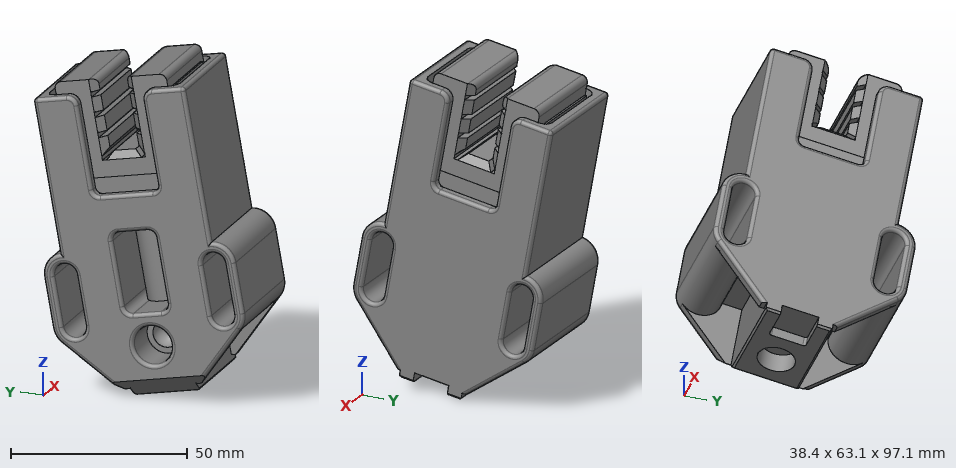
import cadquery as cq
import math


tilt_x = -9.7
tilt_y = -1.25
tilt_z = 0.6
unit_shift = (0, 1.5, 0)

inner_width = 30.0
wall = 3.0
housing_width = inner_width + 2 * wall
half_width = housing_width / 2
cavity_length = 40.0
housing_length = cavity_length + 2 * wall
housing_top = 42.8
edge_radius = 1.1
cavity_corner_radius = 3.0

slot_radius = 3.5
ear_radius = slot_radius + wall
ear_center_y = 22.6
ear_upper_z = -9.6
ear_lower_z = -24.6

taper_angle = math.radians(45)
plate_bottom_z = -45.0
foot_length = 20.0
foot_y_range = (-foot_length / 2, foot_length / 2)
foot_bottom_z = -47.2
foot_edge_chamfer = 0.6
toe_chamfer = 5.5

opening_width = 20.0
opening_bottom_z = 12.9
opening_bottom_radius = 2.0
opening_top_radius = 3.0

window_width = 13.4
window_height = 24.2
window_center_z = -10.2
window_corner_radius = 2.4
window_depth = housing_width - wall
window_bottom_z = window_center_z - window_height / 2

side_bore_diameter = 11.5
side_bore_z = -31.9
side_bore_depth = 18.0
foot_bore_diameter = 11.0
foot_bore_x = -2.7
foot_bore_depth = 6.0
foot_slot_start_x = 7.2
foot_slot_width = 11.0
foot_slot_depth = 3.0
foot_slot_corner_radius = 0.8

applicator_length = 34.0
applicator_bottom_z = 17.6
applicator_top_z = 46.5
jaw_radius = 2.0
jaw_slot_width = 13.0
jaw_slot_bottom_z = 22.6
pad_height = 2.1
groove_width = 1.5
groove_pitch = 6.0
groove_top_z = 42.0
groove_count = 3
corner_relief_width = 1.6

cartridge_diameter = side_bore_diameter
leaf_width = 25.0
leaf_thickness = 0.6
leaf_center_y = 17.8
leaf_offset_y = 0.45
leaf_top_z = 42.0
plug_thickness = 6.0
plug_cup_diameter = 8.0


def box(x_range, y_range, z_range):
    sizes = [high - low for low, high in (x_range, y_range, z_range)]
    corner = (x_range[0], y_range[0], z_range[0])
    return cq.Workplane("XY").box(*sizes, centered=False).translate(corner)


def side_sketch(x):
    """Workplane seen along x, with local coordinates (y, z)."""
    return cq.Workplane("YZ", origin=(x, 0, 0))


def ear_stadium(radius, side):
    """Upright stadium around one ear slot, over the full housing width."""
    middle_z = (ear_upper_z + ear_lower_z) / 2
    length = ear_upper_z - ear_lower_z + 2 * radius
    return (
        side_sketch(-half_width)
        .center(side * ear_center_y, middle_z)
        .slot2D(length, 2 * radius, 90)
        .extrude(housing_width)
    )


def upper_block():
    half_length = housing_length / 2
    block = box(
        (-half_width, half_width),
        (-half_length, half_length),
        (ear_lower_z, housing_top),
    )
    return block.edges("|X and >Z").fillet(edge_radius)


def side_plates():
    """Plates whose lower sides run tangentially from the ears to the narrow bottom."""
    tangent_y = ear_center_y + ear_radius * math.sin(taper_angle)
    tangent_z = ear_lower_z - ear_radius * math.cos(taper_angle)
    bottom_y = tangent_y - (tangent_z - plate_bottom_z) / math.tan(taper_angle)
    outline = [
        (-ear_center_y, ear_lower_z),
        (-tangent_y, tangent_z),
        (-bottom_y, plate_bottom_z),
        (bottom_y, plate_bottom_z),
        (tangent_y, tangent_z),
        (ear_center_y, ear_lower_z),
    ]
    plates = cq.Workplane()
    for x in (-half_width, half_width - wall):
        plates = plates.add(side_sketch(x).polyline(outline).close().extrude(wall))
    return plates.combine()


def foot():
    """Post between the side plates."""
    x_range = (-inner_width / 2, half_width - wall)
    block = box(x_range, foot_y_range, (foot_bottom_z, window_bottom_z))
    return block.faces("<Z").edges("<Y or >Y").chamfer(foot_edge_chamfer)


def foot_lip():
    """End of the foot that reaches under the +x side plate."""
    lip = box((half_width - wall, half_width), foot_y_range, (foot_bottom_z, plate_bottom_z))
    return lip.faces("<Z").edges("not <X").chamfer(foot_edge_chamfer)


def wall_openings():
    """Cutter for the U-shaped openings, flared with round shoulders at the housing top."""
    half_opening = opening_width / 2
    shoulder_y = half_opening + opening_top_radius
    shoulder_z = housing_top - opening_top_radius
    return (
        side_sketch(-half_width)
        .moveTo(-shoulder_y, housing_top)
        .radiusArc((-half_opening, shoulder_z), opening_top_radius)
        .lineTo(-half_opening, opening_bottom_z + opening_bottom_radius)
        .radiusArc((-half_opening + opening_bottom_radius, opening_bottom_z), -opening_bottom_radius)
        .lineTo(half_opening - opening_bottom_radius, opening_bottom_z)
        .radiusArc((half_opening, opening_bottom_z + opening_bottom_radius), -opening_bottom_radius)
        .lineTo(half_opening, shoulder_z)
        .radiusArc((shoulder_y, housing_top), opening_top_radius)
        .close()
        .extrude(housing_width)
    )


def cavity_prism(bottom_z, top_z):
    """Prism with the cross-section of the housing cavity."""
    return (
        cq.Workplane("XY", origin=(0, 0, bottom_z))
        .rect(inner_width, cavity_length)
        .extrude(top_z - bottom_z)
        .edges("|Z")
        .fillet(cavity_corner_radius)
    )


def window_pocket():
    return (
        side_sketch(-half_width)
        .center(0, window_center_z)
        .rect(window_width, window_height)
        .extrude(window_depth)
        .edges("|X")
        .fillet(window_corner_radius)
    )


def side_bore():
    return side_sketch(-half_width).center(0, side_bore_z).circle(side_bore_diameter / 2).extrude(side_bore_depth)


def cartridge():
    """Round cartridge standing in the window pocket, up to the reservoir."""
    return (
        cq.Workplane("XY", origin=(0, 0, window_bottom_z))
        .circle(cartridge_diameter / 2)
        .extrude(opening_bottom_z - window_bottom_z)
    )


def foot_bore():
    return (
        cq.Workplane("XY", origin=(foot_bore_x, 0, foot_bottom_z))
        .circle(foot_bore_diameter / 2)
        .extrude(foot_bore_depth)
    )


def foot_slot():
    """Shallow slot in the underside, open at the +x end."""
    half_slot = foot_slot_width / 2
    slot = box(
        (foot_slot_start_x, half_width),
        (-half_slot, half_slot),
        (foot_bottom_z, foot_bottom_z + foot_slot_depth),
    )
    return slot.edges("|Z and <X").fillet(foot_slot_corner_radius)


def toe_cut():
    """Wedge that bevels the lower -x edge across the whole foot."""
    outline = [
        (-half_width, foot_bottom_z),
        (-half_width + toe_chamfer, foot_bottom_z),
        (-half_width, foot_bottom_z + toe_chamfer),
    ]
    reach = ear_center_y
    return cq.Workplane("XZ", origin=(0, reach, 0)).polyline(outline).close().extrude(2 * reach)


def make_housing():
    body = upper_block().union(side_plates())
    for side in (-1, 1):
        body = body.union(ear_stadium(ear_radius, side))
    for side in (-1, 1):
        body = body.cut(ear_stadium(slot_radius, side))
    body = body.cut(wall_openings()).cut(window_pocket()).cut(side_bore())
    outer_edges = body.faces("<X or >X").edges()
    body = outer_edges.filter(lambda edge: edge.Center().z > plate_bottom_z + edge_radius).fillet(edge_radius)
    body = body.union(foot()).union(foot_lip())
    for cutter in (
        cavity_prism(opening_bottom_z, housing_top),
        window_pocket(),
        side_bore(),
        cartridge(),
        foot_bore(),
        foot_slot(),
        toe_cut(),
    ):
        body = body.cut(cutter)
    return body


def jaw_pads():
    """Raised pads on the three slot faces, bevelled towards both ends of the slot."""
    half_inner = inner_width / 2
    half_slot = jaw_slot_width / 2
    raised_y = half_slot - pad_height
    raised_x = half_inner - pad_height
    pads = cq.Workplane()
    for side in (-1, 1):
        plan = [
            (-half_inner, side * half_slot),
            (half_inner, side * half_slot),
            (raised_x, side * raised_y),
            (-raised_x, side * raised_y),
        ]
        pad = (
            cq.Workplane("XY", origin=(0, 0, jaw_slot_bottom_z))
            .polyline(plan)
            .close()
            .extrude(applicator_top_z - jaw_slot_bottom_z)
            .edges(f"|X and >Z and {'<' if side > 0 else '>'}Y")
            .fillet(jaw_radius)
        )
        pads = pads.add(pad)
    raised_z = jaw_slot_bottom_z + pad_height
    profile = [
        (-half_inner, jaw_slot_bottom_z),
        (half_inner, jaw_slot_bottom_z),
        (raised_x, raised_z),
        (-raised_x, raised_z),
    ]
    ridge = cq.Workplane("XZ", origin=(0, half_slot, 0)).polyline(profile).close().extrude(jaw_slot_width)
    return pads.add(ridge).combine()


def pad_reliefs():
    """Cross grooves in the pads and diagonal gaps in the two slot corners."""
    half_slot = jaw_slot_width / 2
    cutters = cq.Workplane()
    for index in range(groove_count):
        groove = cq.Workplane("XY").box(inner_width, jaw_slot_width, groove_width)
        cutters = cutters.add(groove.translate((0, 0, groove_top_z - index * groove_pitch)))
    diagonal = 4 * math.sqrt(2) * pad_height
    for side in (-1, 1):
        gap = (
            cq.Workplane("XY")
            .box(inner_width, diagonal, corner_relief_width)
            .rotate((0, 0, 0), (1, 0, 0), -45 * side)
            .translate((0, side * half_slot, jaw_slot_bottom_z))
        )
        cutters = cutters.add(gap)
    slot_room = box(
        (-inner_width / 2, inner_width / 2),
        (-half_slot, half_slot),
        (jaw_slot_bottom_z, applicator_top_z),
    )
    return cutters.combine().intersect(slot_room)


def make_applicator():
    half_inner = inner_width / 2
    half_length = applicator_length / 2
    half_slot = jaw_slot_width / 2
    block = box(
        (-half_inner, half_inner),
        (-half_length, half_length),
        (applicator_bottom_z, applicator_top_z),
    )
    block = block.edges("|X and >Z").fillet(jaw_radius)
    slot = box(
        (-half_inner, half_inner),
        (-half_slot, half_slot),
        (jaw_slot_bottom_z, applicator_top_z),
    )
    return block.cut(slot).union(jaw_pads()).cut(pad_reliefs())


def make_reservoir():
    """Block that fills the bottom of the cavity under the applicator."""
    return cavity_prism(opening_bottom_z, applicator_bottom_z)


def make_leaf(side):
    """Thin plate standing in the gap behind one jaw."""
    middle_y = side * leaf_center_y + leaf_offset_y
    y_range = (middle_y - leaf_thickness / 2, middle_y + leaf_thickness / 2)
    return box((-leaf_width / 2, leaf_width / 2), y_range, (applicator_bottom_z, leaf_top_z))


def make_plug():
    """Disc at the end of the side bore, with a hemispherical cup in its outer face."""
    end_x = -half_width + side_bore_depth
    face_x = end_x - plug_thickness
    disc = side_sketch(face_x).center(0, side_bore_z).circle(side_bore_diameter / 2).extrude(plug_thickness)
    cup_radius = plug_cup_diameter / 2
    cup = (
        side_sketch(face_x)
        .center(0, side_bore_z)
        .moveTo(-cup_radius, 0)
        .radiusArc((cup_radius, 0), cup_radius)
        .close()
        .revolve(180, (0, 0), (1, 0))
    )
    return disc.cut(cup)


def tilted(body):
    solid = body.val()
    if isinstance(solid, cq.Compound):
        solid = solid.Solids()[0]
    for axis, angle in (((0, 1, 0), tilt_y), ((1, 0, 0), tilt_x), ((0, 0, 1), tilt_z)):
        solid = solid.rotate((0, 0, 0), axis, angle)
    return solid.translate(cq.Vector(*unit_shift))


housing = make_housing()
applicator = make_applicator()
reservoir = make_reservoir()
leaves = [make_leaf(side) for side in (-1, 1)]
plug = make_plug()

all_bodies = [housing, applicator, reservoir, *leaves, cartridge(), plug]
result = cq.Compound.makeCompound([tilted(body) for body in all_bodies])